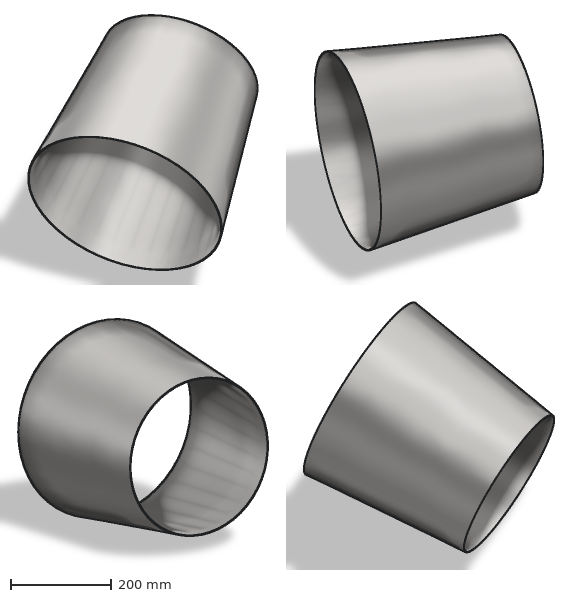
import cadquery as cq

large_diameter = 406.5
small_diameter = 324.0
length = 356.0
wall = 2.0

large_radius = large_diameter / 2
small_radius = small_diameter / 2

wall_section = (
    cq.Workplane("XY")
    .moveTo(large_radius - wall, 0)
    .lineTo(large_radius, 0)
    .lineTo(small_radius, length)
    .lineTo(small_radius - wall, length)
    .close()
)

result = wall_section.revolve(360, (0, 0, 0), (0, 1, 0))